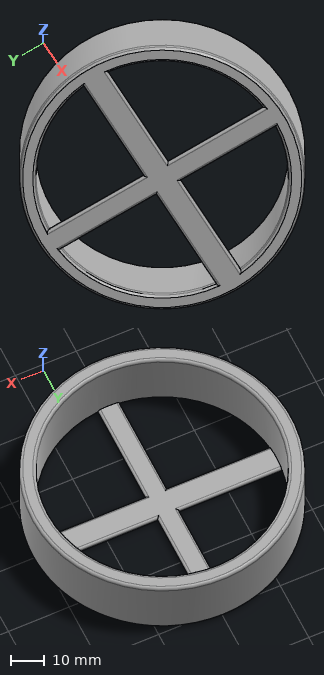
import cadquery as cq

outer_diameter = 85.0
inner_diameter = 75.0
height = 22.0
rim_fillet = 1.0
base_chamfer = 1.0
base_blend = 1.0

bar_thickness = 2.0
x_bar_width = 8.5
y_bar_width = 7.0
bar_fillet = 0.8
bar_length = (outer_diameter + inner_diameter) / 2


def make_ring():
    """Tube with rounded top edges and blended chamfers on both base edges."""
    ring = (
        cq.Workplane("XY")
        .circle(outer_diameter / 2)
        .circle(inner_diameter / 2)
        .extrude(height)
    )
    ring = ring.faces("<Z").edges().chamfer(base_chamfer)
    ring = ring.edges("%CIRCLE and (not <Z) and (not >Z)").fillet(base_blend)
    return ring.faces(">Z").edges().fillet(rim_fillet)


def make_bar(size_x, size_y):
    """Flat bar centred on the ring axis, resting on the base plane."""
    return cq.Workplane("XY").box(size_x, size_y, bar_thickness, centered=(True, True, False))


def make_cross():
    """Two crossing bars with rounded upper and lower edges."""
    cross = make_bar(bar_length, x_bar_width).union(make_bar(y_bar_width, bar_length))
    return cross.faces("<Z or >Z").edges().fillet(bar_fillet)


result = make_ring().union(make_cross())